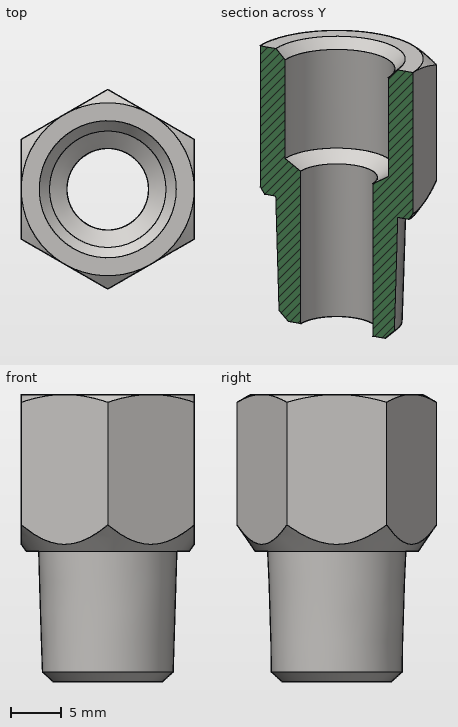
import cadquery as cq
import math

total_height = 28.25
across_flats = 17.0
across_corners = across_flats / math.cos(math.radians(30))

head_height = 15.42
head_bottom = total_height - head_height
top_bevel_angle = 30.0
bottom_bevel_angle = 55.5
bottom_face_diameter = 16.05

spigot_top_diameter = 13.62
spigot_end_diameter = 12.88
tip_diameter = 10.74
tip_chamfer_height = 1.0

through_diameter = 8.0
socket_diameter = 11.45
socket_mouth_diameter = 13.48
socket_depth = 11.3
drill_point_angle = 118.0


def revolve_profile(points):
    """Solid of revolution about Z from (radius, height) points."""
    return cq.Workplane("XZ").polyline(points).close().revolve(360, (0, 0), (0, 1))


def make_head():
    """Hexagonal prism with its corners turned off at both ends."""
    prism = (
        cq.Workplane("XY")
        .workplane(offset=head_bottom)
        .polygon(6, across_corners)
        .extrude(head_height)
        .rotate((0, 0, 0), (0, 0, 1), 30)
    )
    corner_radius = across_corners / 2
    top_radius = across_flats / 2
    bottom_radius = bottom_face_diameter / 2
    corner_drop = (corner_radius - top_radius) * math.tan(math.radians(top_bevel_angle))
    bottom_rise = (corner_radius - bottom_radius) * math.tan(math.radians(bottom_bevel_angle))
    envelope = revolve_profile([
        (0, head_bottom),
        (bottom_radius, head_bottom),
        (corner_radius, head_bottom + bottom_rise),
        (corner_radius, total_height - corner_drop),
        (top_radius, total_height),
        (0, total_height),
    ])
    return prism.intersect(envelope)


def make_spigot():
    """Tapered round end with a chamfered tip."""
    return revolve_profile([
        (0, 0),
        (tip_diameter / 2, 0),
        (spigot_end_diameter / 2, tip_chamfer_height),
        (spigot_top_diameter / 2, head_bottom),
        (0, head_bottom),
    ])


def make_bore():
    """Through hole opening into a drilled socket with a 45 degree mouth."""
    through_radius = through_diameter / 2
    socket_radius = socket_diameter / 2
    mouth_radius = socket_mouth_diameter / 2
    socket_floor = total_height - socket_depth
    cone_height = (socket_radius - through_radius) / math.tan(math.radians(drill_point_angle / 2))
    return revolve_profile([
        (0, 0),
        (through_radius, 0),
        (through_radius, socket_floor - cone_height),
        (socket_radius, socket_floor),
        (socket_radius, total_height - (mouth_radius - socket_radius)),
        (mouth_radius, total_height),
        (0, total_height),
    ])


result = make_head().union(make_spigot()).cut(make_bore())